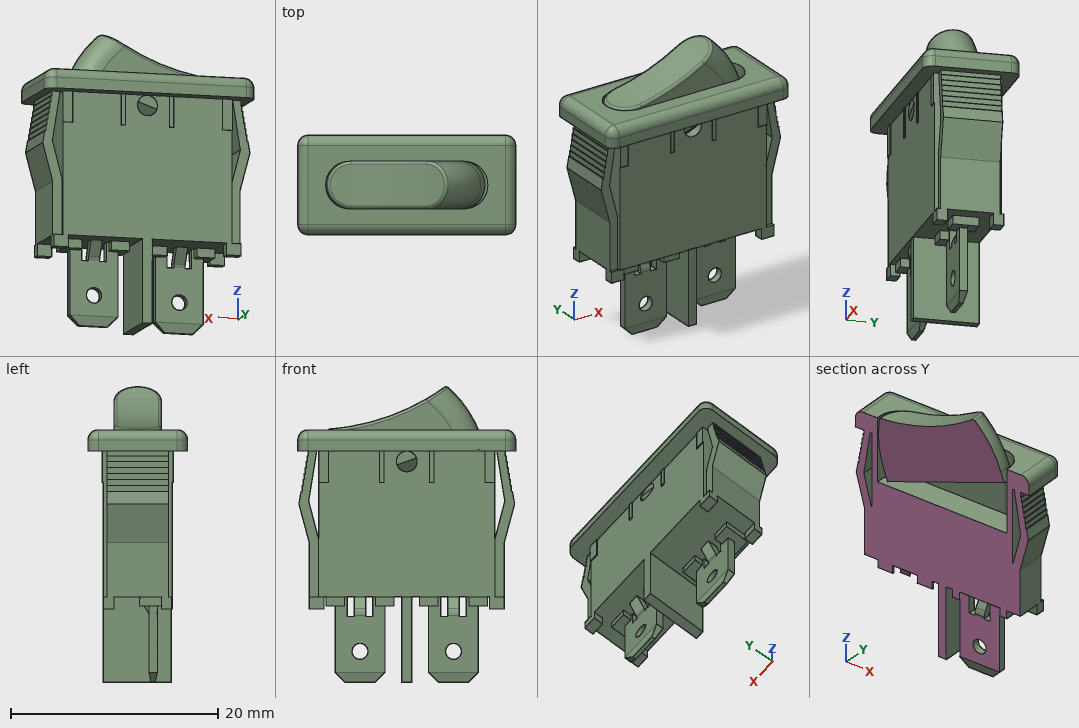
import cadquery as cq
import math


bezel_length = 21.0
bezel_width = 9.6
bezel_height = 2.05
bezel_round = 1.0

body_length = 17.0
body_width = 6.67
body_bottom = 8.25
body_top = 22.3
bezel_top = body_top + bezel_height

pad_projection = 0.09
pad_height = 3.02
corner_pad_length = 0.97
rib_length = 0.43
rib_offset = 2.42

clip_width = 5.93
clip_root_out = 9.4
clip_elbow = 13.48
clip_inner_elbow = 13.85
clip_peak_out = 10.4
clip_peak = 17.2
clip_inner_peak_out = 9.43
clip_inner_peak = 17.47
clip_top_out = 9.5
clip_inner_top_out = 8.65
step_count = 7
step_pitch = 0.57
step_depth = 0.1
first_step_drop = 0.45

foot_length = 1.45
foot_width = 1.03
foot_height = 1.17
foot_inset = 0.09
divider_thickness = 0.97
divider_width = body_width - foot_inset
holder_inner = 1.48
holder_outer = 3.28
holder_height = 0.88
holder_depth = 2.62

terminal_width = 4.82
terminal_thickness = 0.8
terminal_places = [(-4.5, -1.48), (4.5, 0.0)]
tip_length = 0.97
tip_thickness = 0.4
terminal_hole = 1.5
terminal_hole_height = 3.0
window_width = 2.45
window_bottom = 6.35
tab_width = 1.15
tab_bend_start = 6.47
tab_angle = 30.0
tab_inner_radius = 0.5

rocker_tilt = 20.0
rocker_width = 4.6
end_radius = 11.12
end_center_offset = 3.55
dish_radius = 21.65
dish_height = 4.67
rim_round = 0.28
rocker_depth = 1.28
pivot_diameter = 2.0
pivot_z = body_top - pivot_diameter / 2

opening_length = 15.62
opening_bottom = 17.1


def box(x0, x1, y0, y1, z0, z1):
    """Box between two opposite corners."""
    return cq.Workplane("XY").box(x1 - x0, y1 - y0, z1 - z0, centered=False).translate((x0, y0, z0))


def cylinder_along_y(radius, length, z):
    """Cylinder on the X = 0 plane, its axis along Y at height z and centred on Y = 0."""
    return cq.Workplane("XZ", origin=(0, length / 2, z)).circle(radius).extrude(length)


def both_ends(solid):
    """The solid together with its mirror image on the other short side."""
    return solid.union(solid.mirror("YZ"))


def make_bezel():
    plate = (
        cq.Workplane("XY").workplane(offset=body_top)
        .rect(bezel_length, bezel_width).extrude(bezel_height)
    )
    return plate.edges("|Z").fillet(bezel_round).faces(">Z").edges().fillet(bezel_round)


def make_side_pads():
    """Corner pads and ribs that stand proud of both long faces."""
    half_width = body_width / 2 + pad_projection
    z0 = body_top - pad_height
    corner = box(body_length / 2 - corner_pad_length, body_length / 2, -half_width, half_width, z0, body_top)
    rib = box(rib_offset - rib_length / 2, rib_offset + rib_length / 2, -half_width, half_width, z0, body_top)
    return both_ends(corner.union(rib))


def make_clip():
    """Kinked spring arm on the +X side, with a stepped grip above its peak."""
    outline = [
        (body_length / 2, body_bottom),
        (clip_root_out, body_bottom),
        (clip_root_out, clip_elbow),
        (clip_peak_out, clip_peak),
    ]
    for step in reversed(range(step_count)):
        z = body_top - first_step_drop - step * step_pitch
        x = clip_top_out + step * step_depth
        outline += [(x + step_depth, z), (x, z)]
    outline += [
        (clip_top_out, body_top),
        (clip_inner_top_out, body_top),
        (clip_inner_peak_out, clip_inner_peak),
        (body_length / 2, clip_inner_elbow),
    ]
    return cq.Workplane("XZ").polyline(outline).close().extrude(clip_width / 2, both=True)


def make_feet():
    """Four feet at the lower corners of the body."""
    feet = cq.Workplane("XY")
    for end in (-1, 1):
        for side in (-1, 1):
            outer = body_width / 2
            if end < 0 and side < 0:
                outer -= foot_inset
            x0, x1 = sorted((end * (clip_root_out - foot_length), end * clip_root_out))
            y0, y1 = sorted((side * (body_width / 2 - foot_width), side * outer))
            feet = feet.union(box(x0, x1, y0, y1, body_bottom - foot_height, body_bottom))
    return feet


def make_divider():
    """Insulating wall between the two terminals, flush with the rear face of the body."""
    rear = body_width / 2
    half = divider_thickness / 2
    return box(-half, half, rear - divider_width, rear, 0, body_bottom)


def make_holders():
    """Blocks under the body that grip both edges of each terminal."""
    holders = cq.Workplane("XY")
    for x, y in terminal_places:
        for inner, outer in ((-holder_outer, -holder_inner), (holder_inner, holder_outer)):
            holder = box(inner, outer, -holder_depth / 2, holder_depth / 2,
                         body_bottom - holder_height, body_bottom)
            slot = box(-terminal_width / 2, terminal_width / 2,
                       -terminal_thickness / 2, terminal_thickness / 2,
                       body_bottom - holder_height, body_bottom)
            holders = holders.union(holder.cut(slot).translate((x, y, 0)))
    return holders


def make_housing():
    body = box(-body_length / 2, body_length / 2, -body_width / 2, body_width / 2, body_bottom, body_top)
    housing = body.union(make_bezel()).union(make_side_pads()).union(both_ends(make_clip()))
    housing = housing.union(make_feet()).union(make_divider()).union(make_holders())
    opening = (
        cq.Workplane("XY").workplane(offset=opening_bottom)
        .slot2D(opening_length, rocker_width).extrude(bezel_top - opening_bottom)
    )
    pivot_hole = cylinder_along_y(pivot_diameter / 2, body_width, pivot_z)
    return housing.cut(opening).cut(pivot_hole)


def make_rounded_disc(center_x):
    """Disc about a Y axis with a half-round rim; its far side forms one end face of the rocker."""
    half = rocker_width / 2
    flat_radius = end_radius - half
    profile = (
        cq.Workplane("XY").moveTo(0, -half).lineTo(flat_radius, -half)
        .threePointArc((end_radius, 0), (flat_radius, half)).lineTo(0, half).close()
    )
    return profile.revolve(360, (0, 0, 0), (0, 1, 0)).translate((center_x, 0, 0))


def make_pivot_pin():
    """Pivot stubs on both sides, with the lower half of each end bevelled for snapping in."""
    pin = cylinder_along_y(pivot_diameter / 2, body_width, 0)
    end = body_width / 2
    root = rocker_width / 2
    radius = pivot_diameter / 2
    for side in (-1, 1):
        bevel = (
            cq.Workplane("YZ").polyline([(side * end, 0), (side * end, -radius), (side * root, -radius)])
            .close().extrude(radius, both=True)
        )
        pin = pin.cut(bevel)
    return pin


def make_rocker():
    """Built level about the pivot, then tilted and lifted into the housing."""
    rocker = make_rounded_disc(-end_center_offset).intersect(make_rounded_disc(end_center_offset))
    rocker = rocker.intersect(box(-end_radius, end_radius, -rocker_width, rocker_width, 0, end_radius))
    dish = cylinder_along_y(dish_radius, 2 * rocker_width, dish_height + dish_radius)
    rocker = rocker.cut(dish)
    skirt_length = 2 * (end_radius - end_center_offset)
    skirt = cq.Workplane("XY").slot2D(skirt_length, rocker_width).extrude(-rocker_depth)
    rocker = rocker.union(skirt)
    top_face = rocker.faces(cq.selectors.NearestToPointSelector((0, 0, dish_height)))
    rocker = top_face.edges().fillet(rim_round)
    rocker = rocker.union(make_pivot_pin(), clean=False)
    return rocker.rotate((0, 0, 0), (0, 1, 0), -rocker_tilt).translate((0, 0, pivot_z))


def make_tab():
    """Tongue in the terminal window, bent back towards +Y."""
    front = -terminal_thickness / 2
    back = terminal_thickness / 2
    bend_y = back + tab_inner_radius
    outer_radius = tab_inner_radius + terminal_thickness
    slope = math.tan(math.radians(tab_angle))

    def on_bend(radius, degrees):
        angle = math.radians(degrees)
        return (bend_y - radius * math.cos(angle), tab_bend_start + radius * math.sin(angle))

    def at_body(start):
        return (start[0] + (body_bottom - start[1]) * slope, body_bottom)

    front_end = on_bend(outer_radius, tab_angle)
    back_end = on_bend(tab_inner_radius, tab_angle)
    profile = (
        cq.Workplane("YZ").moveTo(back, window_bottom).lineTo(front, window_bottom)
        .lineTo(front, tab_bend_start)
        .threePointArc(on_bend(outer_radius, tab_angle / 2), front_end)
        .lineTo(*at_body(front_end)).lineTo(*at_body(back_end)).lineTo(*back_end)
        .threePointArc(on_bend(tab_inner_radius, tab_angle / 2), (back, tab_bend_start))
        .close()
    )
    return profile.extrude(tab_width / 2, both=True)


def make_terminal(x, y):
    front = -terminal_thickness / 2
    back = terminal_thickness / 2
    half = terminal_width / 2
    blade = box(-half, half, front, back, tip_length, body_bottom)
    tip = (
        cq.Workplane("XY").rect(terminal_width - 2 * tip_length, tip_thickness)
        .workplane(offset=tip_length).rect(terminal_width, terminal_thickness)
        .loft(ruled=True)
    )
    window = box(-window_width / 2, window_width / 2, front, back, window_bottom, body_bottom)
    hole = cylinder_along_y(terminal_hole / 2, 2 * terminal_thickness, terminal_hole_height)
    terminal = blade.union(tip).cut(window).cut(hole).union(make_tab())
    return terminal.translate((x, y, 0))


housing = make_housing()
rocker = make_rocker()
terminals = [make_terminal(x, y).val() for x, y in terminal_places]

result = cq.Compound.makeCompound([housing.val(), rocker.val(), *terminals])